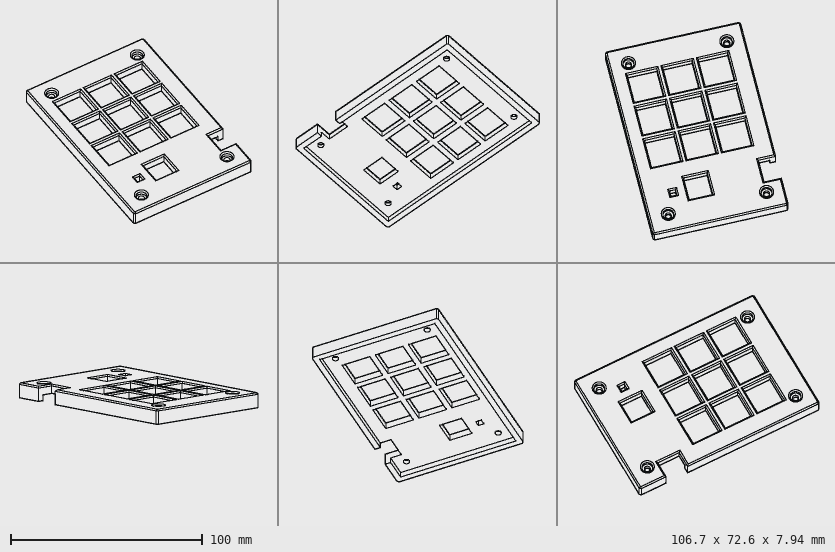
import cadquery as cq

INCH = 25.4

LENGTH = 4.2 * INCH
WIDTH = 2.86 * INCH
HEIGHT = INCH * 5 / 16
CHAMFER = INCH / 32

FACE_THICKNESS = INCH * 3 / 16
RIM_WIDTH = INCH / 8

KEY_COUNT = 3
KEY_PITCH = 0.75 * INCH
KEY_OPENING = INCH * 5 / 8
KEY_GRID_CENTER = (-11.0, -1.15)

KNOB_OPENING = INCH / 2
KNOB_CENTER = (31.95, -7.0)
LAMP_OPENING = INCH / 8
LAMP_CENTER = (32.63, -20.57)

NOTCH_WIDTH = INCH / 2
NOTCH_DEPTH = 9.3
NOTCH_CENTER_X = 31.4

SCREW_SPACING = (88.0, 52.8)
SCREW_PATTERN_CENTER = (-0.15, 0.45)
SCREW_DIAMETER = 3.2
COUNTERBORE_DIAMETER = 5.75
COUNTERBORE_DEPTH = INCH * 3 / 32


def make_body():
    """Rectangular block with chamfered corners, notched in the +Y edge, top outline chamfered."""
    block = cq.Workplane("XY").box(LENGTH, WIDTH, HEIGHT, centered=(True, True, False))
    block = block.edges("|Z").chamfer(CHAMFER)
    notch = (
        cq.Workplane("XY")
        .center(NOTCH_CENTER_X, WIDTH / 2 - NOTCH_DEPTH)
        .box(NOTCH_WIDTH, 2 * NOTCH_DEPTH, HEIGHT, centered=(True, False, False))
    )
    return block.cut(notch).faces(">Z").edges().chamfer(CHAMFER)


def make_cavity():
    """Space under the face, enclosed by the outer rim."""
    cavity_length = LENGTH - 2 * RIM_WIDTH
    cavity_width = WIDTH - 2 * RIM_WIDTH
    cavity_height = HEIGHT - FACE_THICKNESS
    return cq.Workplane("XY").box(cavity_length, cavity_width, cavity_height, centered=(True, True, False))


def make_square_opening(size, center):
    """Cutter for a square through opening whose top edge is chamfered."""
    shaft = cq.Workplane("XY").center(*center).rect(size, size).extrude(HEIGHT)
    flare = (
        cq.Workplane("XY", origin=(0, 0, HEIGHT - CHAMFER))
        .center(*center)
        .rect(size, size)
        .workplane(offset=CHAMFER)
        .rect(size + 2 * CHAMFER, size + 2 * CHAMFER)
        .loft(ruled=True)
    )
    return shaft.union(flare)


def make_screw_hole(center):
    """Cutter for a through hole with a counterbore whose top edge is chamfered."""
    bore_radius = COUNTERBORE_DIAMETER / 2
    screw_radius = SCREW_DIAMETER / 2
    floor = HEIGHT - COUNTERBORE_DEPTH
    profile = [
        (0, 0),
        (screw_radius, 0),
        (screw_radius, floor),
        (bore_radius, floor),
        (bore_radius, HEIGHT - CHAMFER),
        (bore_radius + CHAMFER, HEIGHT),
        (0, HEIGHT),
    ]
    cutter = cq.Workplane("XZ").polyline(profile).close().revolve(360, (0, 0, 0), (0, 1, 0))
    return cutter.translate((*center, 0))


def key_centers():
    """Centers of the square key grid."""
    first = -KEY_PITCH * (KEY_COUNT - 1) / 2
    offsets = [first + index * KEY_PITCH for index in range(KEY_COUNT)]
    grid_x, grid_y = KEY_GRID_CENTER
    return [(grid_x + dx, grid_y + dy) for dx in offsets for dy in offsets]


def screw_centers():
    """Centers of the four screw holes."""
    pattern_x, pattern_y = SCREW_PATTERN_CENTER
    half_x = SCREW_SPACING[0] / 2
    half_y = SCREW_SPACING[1] / 2
    return [(pattern_x + dx, pattern_y + dy) for dx in (-half_x, half_x) for dy in (-half_y, half_y)]


result = make_body().cut(make_cavity())
for key_center in key_centers():
    result = result.cut(make_square_opening(KEY_OPENING, key_center))
result = result.cut(make_square_opening(KNOB_OPENING, KNOB_CENTER))
result = result.cut(make_square_opening(LAMP_OPENING, LAMP_CENTER))
for screw_center in screw_centers():
    result = result.cut(make_screw_hole(screw_center))